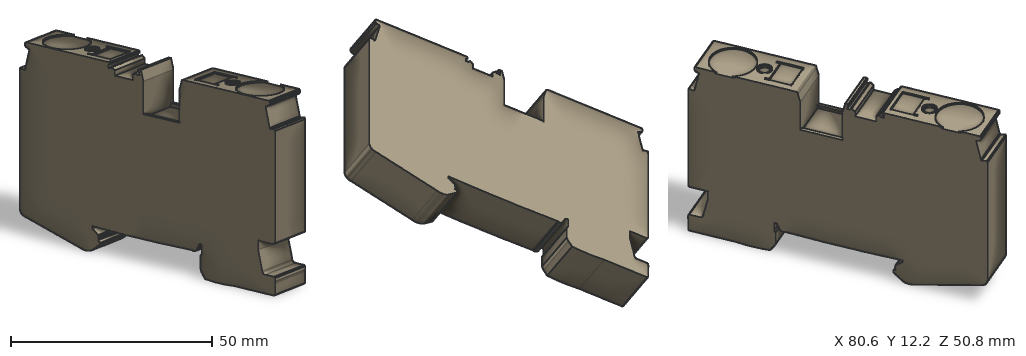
import cadquery as cq
LENGTH = 80.6
THICKNESS = 12.2
HEIGHT = 50.85

HALF_LENGTH = LENGTH / 2
HALF_THICKNESS = THICKNESS / 2
TOP = HEIGHT / 2
BOTTOM = -HEIGHT / 2

LIP_TIP = 38.6
LIP_HEIGHT = 1.3
LIP_CORNER = 0.3
LIP_SIDE_HEIGHT = 0.8
NECK_TOP = 37.3
NECK_TOP_DROP = 1.7
NECK_TAPER_DROP = 2.0
NECK_BASE = 38.5
SHOULDER_Z = 18.4
SHOULDER_BEVEL_WIDTH = 0.2
SHOULDER_BEVEL_HEIGHT = 0.5
SHOULDER_DIP = 0.3
SHOULDER_DIP_WIDTH = 0.25

CHANNEL_LEFT = -10.3
CHANNEL_RIGHT = -4.7
CHANNEL_FLOOR_Z = 22.25
LEDGE_Z = TOP - 1.5
LEDGE_EDGE_DROP = 0.25
LATCH_LEFT = -12.4
LATCH_RIGHT = -2.6
LATCH_OVERHANG = 0.5
LATCH_TIP_HEIGHT = 0.8
LATCH_ROUND = 0.25
LATCH_TOP_END = -2.0
BEAD_OFFSET = 1.2
BEAD_HALF_WIDTH = 0.5
BEAD_HEIGHT = 0.5

SLOT_LEFT = -1.3
SLOT_RIGHT = 10.1
SLOT_FLOOR_Z = 14.0
SLOT_LEAD_IN = 0.65
SLOT_LEAD_IN_DEPTH = 2.75
SLOT_ROUND_WIDTH = 0.4
SLOT_ROUND_DEPTH = 0.5

POCKET_DEPTH = 0.9
POCKET_FRONT_Y = -5.15
POCKET_BACK_Y = 5.1
POCKET_BACK_SLOPE = 0.4

BODY_RIGHT = HALF_LENGTH - 0.1
RECESS_TOP_Z = -11.8
RECESS_WALL_X = 34.9
RECESS_WALL_END_Z = -14.2
RECESS_TAPER_END = (36.2, -19.4)
RECESS_CORNER_MID = (36.4, -20.0)
RECESS_CORNER_END_X = 37.1
RECESS_CORNER_RADIUS = 0.65
FOOT_TOP_Z = -20.2
FOOT_CREST_Z = -21.2
FOOT_CREST_HALF_HEIGHT = 0.6
FOOT_CHAMFER = 0.3
FOOT_BASE_Z = BOTTOM + 0.25
FOOT_BULGE_RIGHT = 27.4
FOOT_BULGE_LEFT = 18.2
FOOT_LEFT = 16.7
FOOT_TOE = (17.1, -23.7)
FOOT_TOE_TOP_Z = -22.8
FOOT_LEFT_TOP_Z = -19.35

GROOVE_RIGHT = 17.1
GROOVE_RIGHT_BASE_Z = -18.9
GROOVE_SHOULDER_Z = -16.9
GROOVE_CROWN = (16.7, -16.4)
GROOVE_LEFT_TOP = (16.2, -16.8)
GROOVE_LEFT_BASE = (15.6, -17.9)
GROOVE_LIP_MID = (15.15, -18.45)
GROOVE_LIP_END = (14.5, -18.6)

SEAT_Z = -18.45
SEAT_LEFT = -17.4
SEAT_RIGHT = 14.1
SEAT_MIDDLE = (SEAT_LEFT + SEAT_RIGHT) / 2
SEAT_BULGE = 0.25

CLAW_OUTLINE = [
    (SEAT_LEFT, -19.0),
    (-15.55, -20.4),
    (-15.55, -20.8),
    (-15.3, -21.2),
    (-15.55, -21.8),
    (-14.9, -22.3),
    (-14.9, -22.7),
    (-17.6, -24.8),
]
CLAW_BASE_MID = (-19.0, -25.2)
CLAW_BASE_END = (-20.8, -25.0)

HEEL_START = (-38.5, -20.2)
HEEL_MID = (-39.7, -19.6)
HEEL_END = (-HALF_LENGTH, -18.05)

RECESS_DEPTH = 0.5
DISC_DIAMETER = 12.1
DISC_X = 30.5
DISC_Y = 0.4
HOLE_X = 22.2
HOLE_DIAMETER = 3.0
HOLE_DEPTH = 0.8
HOLE_RIM_DIAMETER = 3.8
HOLE_RIM_DEPTH = 0.25
WINDOW_INNER_X = 13.3
WINDOW_OUTER_X = 19.4
WINDOW_TAB_X = 20.5
WINDOW_WIDTH = 8.1
WINDOW_TAB_WIDTH = 0.5


def lip_points(side, outer_x):
    """Outline of one end from the shoulder up to the top face; side is -1 or 1."""
    points = [
        (outer_x, SHOULDER_Z - SHOULDER_BEVEL_HEIGHT),
        (outer_x - SHOULDER_BEVEL_WIDTH, SHOULDER_Z),
        (NECK_BASE + SHOULDER_DIP_WIDTH, SHOULDER_Z - SHOULDER_DIP),
        (NECK_BASE, SHOULDER_Z),
        (NECK_TOP, TOP - NECK_TAPER_DROP),
        (NECK_TOP, TOP - NECK_TOP_DROP),
        (LIP_TIP - LIP_CORNER, TOP - LIP_HEIGHT),
        (LIP_TIP, TOP - LIP_SIDE_HEIGHT),
        (LIP_TIP, TOP - LIP_CORNER),
        (LIP_TIP - LIP_CORNER, TOP),
    ]
    return [(side * x, z) for x, z in points]


def ledge_points(latch_x, channel_x, side):
    """Latch undercut, snap bead and channel wall; side is the direction into the channel."""
    bead_x = latch_x + side * BEAD_OFFSET
    return [
        (latch_x + side * (LATCH_OVERHANG - LATCH_ROUND), TOP),
        (latch_x + side * LATCH_OVERHANG, TOP - LATCH_ROUND),
        (latch_x + side * LATCH_OVERHANG, TOP - LATCH_TIP_HEIGHT + LATCH_ROUND),
        (latch_x, TOP - LATCH_TIP_HEIGHT),
        (latch_x, LEDGE_Z),
        (bead_x - side * BEAD_HALF_WIDTH, LEDGE_Z),
        (bead_x, LEDGE_Z + BEAD_HEIGHT),
        (channel_x, LEDGE_Z - LEDGE_EDGE_DROP),
        (channel_x, CHANNEL_FLOOR_Z),
    ]


def add_top_outline(profile):
    """Left end, latch channel, deep slot and right end, running left to right."""
    lead_in_x = SLOT_RIGHT + SLOT_LEAD_IN
    left_of_slot_round = (
        lip_points(-1, HALF_LENGTH)
        + ledge_points(LATCH_LEFT, CHANNEL_LEFT, 1)
        + ledge_points(LATCH_RIGHT, CHANNEL_RIGHT, -1)[::-1]
        + [
            (LATCH_TOP_END, TOP),
            (SLOT_LEFT, TOP - SLOT_LEAD_IN_DEPTH),
            (SLOT_LEFT, SLOT_FLOOR_Z),
            (SLOT_RIGHT, SLOT_FLOOR_Z),
            (SLOT_RIGHT, TOP - SLOT_LEAD_IN_DEPTH),
            (lead_in_x, TOP - SLOT_ROUND_DEPTH),
        ]
    )
    profile = profile.polyline(left_of_slot_round)
    profile = profile.radiusArc((lead_in_x + SLOT_ROUND_WIDTH, TOP), SLOT_ROUND_DEPTH)
    return profile.polyline(lip_points(1, BODY_RIGHT)[::-1], includeCurrent=True)


def add_rail_foot(profile):
    """Right side downwards, then the foot's underside and left face."""
    return (
        profile.lineTo(BODY_RIGHT, RECESS_TOP_Z + RECESS_CORNER_RADIUS)
        .radiusArc((BODY_RIGHT - RECESS_CORNER_RADIUS, RECESS_TOP_Z), RECESS_CORNER_RADIUS)
        .lineTo(RECESS_WALL_X, RECESS_TOP_Z)
        .lineTo(RECESS_WALL_X, RECESS_WALL_END_Z)
        .lineTo(*RECESS_TAPER_END)
        .threePointArc(RECESS_CORNER_MID, (RECESS_CORNER_END_X, FOOT_TOP_Z))
        .lineTo(BODY_RIGHT - FOOT_CHAMFER, FOOT_TOP_Z)
        .lineTo(BODY_RIGHT, FOOT_TOP_Z - FOOT_CHAMFER)
        .lineTo(HALF_LENGTH, FOOT_CREST_Z)
        .lineTo(BODY_RIGHT, FOOT_CREST_Z - FOOT_CREST_HALF_HEIGHT)
        .lineTo(BODY_RIGHT, FOOT_BASE_Z + FOOT_CHAMFER)
        .lineTo(BODY_RIGHT - FOOT_CHAMFER, FOOT_BASE_Z)
        .lineTo(FOOT_BULGE_RIGHT, FOOT_BASE_Z)
        .threePointArc(
            ((FOOT_BULGE_LEFT + FOOT_BULGE_RIGHT) / 2, BOTTOM),
            (FOOT_BULGE_LEFT, FOOT_BASE_Z),
        )
        .lineTo(*FOOT_TOE)
        .lineTo(FOOT_LEFT, FOOT_TOE_TOP_Z)
        .lineTo(FOOT_LEFT, FOOT_LEFT_TOP_Z)
    )


def add_groove_and_seat(profile):
    """Relief groove beside the foot, then the rail seat to the left."""
    return (
        profile.lineTo(GROOVE_RIGHT, GROOVE_RIGHT_BASE_Z)
        .lineTo(GROOVE_RIGHT, GROOVE_SHOULDER_Z)
        .threePointArc(GROOVE_CROWN, GROOVE_LEFT_TOP)
        .lineTo(*GROOVE_LEFT_BASE)
        .threePointArc(GROOVE_LIP_MID, GROOVE_LIP_END)
        .lineTo(SEAT_RIGHT, SEAT_Z)
        .threePointArc((SEAT_MIDDLE, SEAT_Z - SEAT_BULGE), (SEAT_LEFT, SEAT_Z))
    )


def add_claw_and_heel(profile):
    """Rail claw, sloping underside and rounded heel up to the left side."""
    return (
        profile.polyline(CLAW_OUTLINE, includeCurrent=True)
        .threePointArc(CLAW_BASE_MID, CLAW_BASE_END)
        .lineTo(*HEEL_START)
        .threePointArc(HEEL_MID, HEEL_END)
        .close()
    )


def body():
    """Full side profile extruded through the thickness."""
    profile = add_top_outline(cq.Workplane("XZ", origin=(0, HALF_THICKNESS, 0)))
    profile = add_rail_foot(profile)
    profile = add_groove_and_seat(profile)
    return add_claw_and_heel(profile).extrude(THICKNESS)


def slot_pocket():
    """Shallow pocket in the slot floor with a steep back wall."""
    return (
        cq.Workplane("YZ", origin=(SLOT_LEFT, 0, 0))
        .moveTo(POCKET_FRONT_Y, SLOT_FLOOR_Z)
        .lineTo(POCKET_BACK_Y, SLOT_FLOOR_Z)
        .lineTo(POCKET_BACK_Y - POCKET_BACK_SLOPE, SLOT_FLOOR_Z - POCKET_DEPTH)
        .lineTo(POCKET_FRONT_Y, SLOT_FLOOR_Z - POCKET_DEPTH)
        .close()
        .extrude(SLOT_RIGHT - SLOT_LEFT)
    )


def round_recess(x, y, diameter, depth):
    """Cylinder cut down from the top face."""
    return cq.Workplane("XY", origin=(x, y, TOP)).circle(diameter / 2).extrude(-depth)


def window_recess(side):
    """Rectangular recess with a narrow tab at both outer corners."""
    half = WINDOW_WIDTH / 2
    tab = half - WINDOW_TAB_WIDTH
    points = [
        (WINDOW_INNER_X, -half),
        (WINDOW_TAB_X, -half),
        (WINDOW_TAB_X, -tab),
        (WINDOW_OUTER_X, -tab),
        (WINDOW_OUTER_X, tab),
        (WINDOW_TAB_X, tab),
        (WINDOW_TAB_X, half),
        (WINDOW_INNER_X, half),
    ]
    outline = [(side * x, y) for x, y in points]
    return cq.Workplane("XY", origin=(0, 0, TOP)).polyline(outline).close().extrude(-RECESS_DEPTH)


result = body().cut(slot_pocket())
for side in (-1, 1):
    result = result.cut(round_recess(side * DISC_X, DISC_Y, DISC_DIAMETER, RECESS_DEPTH))
    result = result.cut(round_recess(side * HOLE_X, 0, HOLE_RIM_DIAMETER, HOLE_RIM_DEPTH))
    result = result.cut(round_recess(side * HOLE_X, 0, HOLE_DIAMETER, HOLE_DEPTH))
    result = result.cut(window_recess(side))